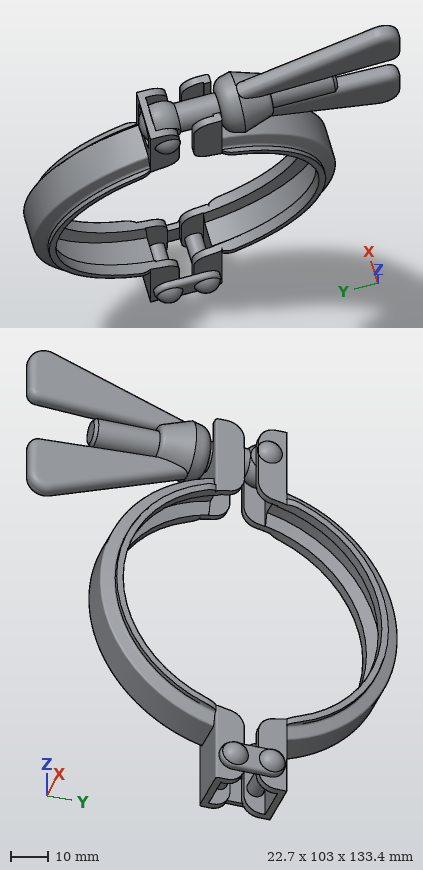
import cadquery as cq
import math


crest_radius = 42.0
flange_inner_radius = 36.6
band_sheet = 1.9
crest_half_width = 5.0
foot_half_width = 6.1
flange_half_width = 7.9
band_bend_fillet = 0.7
flange_taper_start_y = 13.1

leg_sheet = 2.0
leg_half_width = 7.01
leg_outer_y = 10.0
leg_inner_y = 2.0
leg_end_z = 59.0
leg_corner_radius = 5.0
web_edge_fillet = 0.7

pivot_y = 5.2
pivot_z = 51.4
pivot_pin_diameter = 4.0
hinge_pin_diameter = 4.8
rivet_head_sphere_radius = 4.0
pivot_head_height = 2.1
hinge_head_height = 2.34
link_thickness = 2.0
link_width = 8.0
link_edge_fillet = 1.0

shank_diameter = 8.0
shank_end_y = -43.1
shank_chamfer = 1.0
eye_sphere_radius = 6.0
eye_width = 8.3
eye_window_diameter = 12.3
shank_slot_width = 9.1

nut_seat_y = -10.7
nut_rim_y = -16.0
nut_end_y = -24.8
nut_seat_radius = 7.1
nut_rim_radius = 8.4
nut_end_radius = 5.6
nut_seat_fillet = 3.7
nut_end_fillet = 1.6
wing_thickness = 5.1
wing_edge_fillet = 2.0
wing_tip_y = -61.0
wing_outer_angle = 20.6
wing_inner_angle = 3.0
wing_inner_root_height = 4.1
wing_outer_corner_radius = 5.1
wing_inner_corner_radius = 3.0

flange_outer_radius = flange_inner_radius + band_sheet
groove_radius = crest_radius - band_sheet
wall_slope = (foot_half_width - crest_half_width) / (crest_radius - flange_outer_radius)
wall_width = band_sheet * math.hypot(1, wall_slope)
groove_floor_half_width = crest_half_width + wall_slope * band_sheet - wall_width
groove_mouth_half_width = crest_half_width + wall_slope * (crest_radius - flange_inner_radius) - wall_width
leg_inner_half_width = leg_half_width - leg_sheet
web_inner_y = leg_outer_y - leg_sheet
link_outer_x = leg_half_width + link_thickness


def x_cylinder(radius, half_length, y, z):
    return cq.Workplane("YZ").center(y, z).circle(radius).extrude(half_length, both=True)


def centred_box(half_width, y0, y1, z0, z1):
    """Box centred on X, between the given Y and Z limits."""
    return cq.Workplane("XY").box(2 * half_width, y1 - y0, z1 - z0).translate((0, (y0 + y1) / 2, (z0 + z1) / 2))


def revolve_about_x(outline):
    return cq.Workplane("XY").polyline(outline).close().revolve(360, (0, 0, 0), (1, 0, 0))


def groove_space():
    """Space inside the ring: the bore and the groove behind the crest."""
    return revolve_about_x([
        (-flange_half_width, 0),
        (-flange_half_width, flange_inner_radius),
        (-groove_mouth_half_width, flange_inner_radius),
        (-groove_floor_half_width, groove_radius),
        (groove_floor_half_width, groove_radius),
        (groove_mouth_half_width, flange_inner_radius),
        (flange_half_width, flange_inner_radius),
        (flange_half_width, 0),
    ])


def ring_outside():
    """Solid of revolution with the outer surface of the band."""
    outline = [
        (-flange_half_width, 0),
        (-flange_half_width, flange_outer_radius),
        (-foot_half_width, flange_outer_radius),
        (-crest_half_width, crest_radius),
        (crest_half_width, crest_radius),
        (foot_half_width, flange_outer_radius),
        (flange_half_width, flange_outer_radius),
        (flange_half_width, 0),
    ]
    bends = cq.selectors.BoxSelector(
        (-foot_half_width - 0.1, -crest_radius - 1.3, -crest_radius - 1.3),
        (foot_half_width + 0.1, crest_radius + 1.3, crest_radius + 1.3), boundingbox=True,
    )
    return revolve_about_x(outline).edges("%CIRCLE").edges(bends).fillet(band_bend_fillet)


def half_ring_plan():
    """Block on the +Y side that narrows the flanges to the leg width near the legs."""
    plan = (
        cq.Workplane("XY").workplane(offset=-crest_radius)
        .moveTo(leg_half_width, leg_outer_y)
        .lineTo(-leg_half_width, leg_outer_y)
        .threePointArc(taper_midpoint(-1), (-flange_half_width, flange_taper_start_y))
        .lineTo(-flange_half_width, crest_radius)
        .lineTo(flange_half_width, crest_radius)
        .lineTo(flange_half_width, flange_taper_start_y)
        .threePointArc(taper_midpoint(1), (leg_half_width, leg_outer_y))
        .close()
    )
    return plan.extrude(2 * crest_radius)


def taper_midpoint(side):
    """Point halfway along the flange taper, an arc that starts tangent to the flange edge."""
    length = flange_taper_start_y - leg_outer_y
    depth = flange_half_width - leg_half_width
    radius = (length**2 + depth**2) / (2 * depth)
    half_angle = math.asin(length / radius) / 2
    x = flange_half_width - radius * (1 - math.cos(half_angle))
    return (side * x, flange_taper_start_y - radius * math.sin(half_angle))


def upper_leg(web_fillet):
    """U channel on the +Y side, open towards the other half."""
    block = centred_box(leg_half_width, leg_inner_y, leg_outer_y, 0, leg_end_z)
    if web_fillet:
        block = block.edges("|Z and >Y").fillet(web_fillet)
    block = block.cut(x_cylinder(flange_inner_radius, leg_half_width, 0, 0))
    block = block.edges("|X and <Y").fillet(leg_corner_radius)
    channel_space = centred_box(leg_inner_half_width, 0, web_inner_y, 0, leg_end_z)
    return block.cut(channel_space).cut(groove_space())


def half_clamp(web_fillet):
    """Half ring with a leg at each end and hinge holes in the lower leg, on the +Y side."""
    arc = ring_outside().cut(groove_space()).intersect(half_ring_plan())
    leg = upper_leg(web_fillet)
    half = arc.union(leg).union(leg.mirror("XY"))
    hinge_hole = x_cylinder(hinge_pin_diameter / 2, leg_half_width, pivot_y, -pivot_z)
    return half.cut(hinge_hole)


def bolt_half():
    """Half that carries the swing bolt, with a window in its web for the bolt eye."""
    window = (
        cq.Workplane("XZ").workplane(offset=-leg_outer_y).center(0, pivot_z)
        .circle(eye_window_diameter / 2).extrude(leg_sheet)
        .intersect(centred_box(leg_inner_half_width, web_inner_y, leg_outer_y, 0, leg_end_z))
    )
    pivot_hole = x_cylinder(pivot_pin_diameter / 2, leg_half_width, pivot_y, pivot_z)
    return half_clamp(0).cut(window).cut(pivot_hole)


def nut_half():
    """Half that the nut bears on, with an open slot in its web for the bolt shank."""
    slot = centred_box(shank_slot_width / 2, web_inner_y, leg_outer_y, pivot_z, leg_end_z)
    slot_end = (
        cq.Workplane("XZ").workplane(offset=-leg_outer_y).center(0, pivot_z)
        .circle(shank_slot_width / 2).extrude(leg_sheet)
    )
    return half_clamp(web_edge_fillet).cut(slot).cut(slot_end).mirror("XZ")


def rivet(pin_diameter, seat_x, head_height, y, z):
    """Pin along X with a spherical head cap on each outer seat."""
    pin_radius = pin_diameter / 2
    sphere_x = seat_x + head_height - rivet_head_sphere_radius
    tip_x = seat_x + head_height
    head_base_radius = math.sqrt(rivet_head_sphere_radius**2 - (seat_x - sphere_x)**2)
    half_cap_angle = math.asin(head_base_radius / rivet_head_sphere_radius) / 2
    cap_x = sphere_x + rivet_head_sphere_radius * math.cos(half_cap_angle)
    cap_radius = rivet_head_sphere_radius * math.sin(half_cap_angle)
    profile = (
        cq.Workplane("XY")
        .moveTo(-tip_x, 0)
        .threePointArc((-cap_x, cap_radius), (-seat_x, head_base_radius))
        .lineTo(-seat_x, pin_radius)
        .lineTo(seat_x, pin_radius)
        .lineTo(seat_x, head_base_radius)
        .threePointArc((cap_x, cap_radius), (tip_x, 0))
        .close()
    )
    return profile.revolve(360, (0, 0, 0), (1, 0, 0)).translate((0, y, z))


def link(side):
    """Oblong plate that joins the two hinge rivets on one side."""
    plate = (
        cq.Workplane("YZ").workplane(offset=leg_half_width).center(0, -pivot_z)
        .slot2D(2 * pivot_y + link_width, link_width).extrude(link_thickness)
        .faces(">X").edges().fillet(link_edge_fillet)
        .faces("<X").workplane(origin=(0, 0, -pivot_z))
        .pushPoints([(-pivot_y, 0), (pivot_y, 0)]).hole(hinge_pin_diameter)
    )
    return plate if side > 0 else plate.mirror("YZ")


def swing_bolt():
    """Shank along -Y from a flattened spherical eye."""
    eye = cq.Workplane("XY").sphere(eye_sphere_radius)
    eye = eye.intersect(x_cylinder(eye_sphere_radius, eye_width / 2, 0, 0))
    shank = (
        cq.Workplane("XZ").circle(shank_diameter / 2).extrude(pivot_y - shank_end_y)
        .faces("<Y").chamfer(shank_chamfer)
    )
    pivot_hole = x_cylinder(pivot_pin_diameter / 2, eye_width, 0, 0)
    return eye.union(shank).cut(pivot_hole).translate((0, pivot_y, pivot_z))


def nut_body():
    """Double cone about the bolt axis, rounded at its seat and its outer end."""
    body = (
        cq.Workplane("XY")
        .polyline([
            (0, nut_seat_y), (nut_seat_radius, nut_seat_y), (nut_rim_radius, nut_rim_y),
            (nut_end_radius, nut_end_y), (0, nut_end_y),
        ])
        .close().revolve(360, (0, 0, 0), (0, 1, 0))
    )
    return body.faces("<Y").edges().fillet(nut_end_fillet).faces(">Y").edges().fillet(nut_seat_fillet)


def wing():
    """Tapered wing above the bolt axis, rounded along its whole outline."""
    length = nut_rim_y - wing_tip_y
    outer_tip = nut_rim_radius + length * math.tan(math.radians(wing_outer_angle))
    inner_tip = wing_inner_root_height + length * math.tan(math.radians(wing_inner_angle))
    plate = (
        cq.Workplane("YZ")
        .polyline([
            (nut_rim_y, wing_inner_root_height), (nut_rim_y, nut_rim_radius),
            (wing_tip_y, outer_tip), (wing_tip_y, inner_tip),
        ])
        .close().extrude(wing_thickness / 2, both=True)
    )
    tip_edges = plate.edges("|X and <Y")
    plate = tip_edges.edges(">Z").fillet(wing_outer_corner_radius)
    plate = plate.edges("|X").edges("<Y").edges("<Z").fillet(wing_inner_corner_radius)
    return plate.faces("<X or >X").edges().fillet(wing_edge_fillet)


def wing_nut():
    upper_wing = wing()
    nut = nut_body().union(upper_wing).union(upper_wing.mirror("XY"))
    bore = cq.Workplane("XZ").circle(shank_diameter / 2).extrude(-wing_tip_y)
    return nut.cut(bore).translate((0, 0, pivot_z))


back_half = bolt_half()
front_half = nut_half()
pivot_rivet = rivet(pivot_pin_diameter, leg_half_width, pivot_head_height, pivot_y, pivot_z)
hinge_rivets = [
    rivet(hinge_pin_diameter, link_outer_x, hinge_head_height, y, -pivot_z) for y in (-pivot_y, pivot_y)
]
links = [link(side) for side in (-1, 1)]
bolt = swing_bolt()
nut = wing_nut()

result = cq.Compound.makeCompound([
    back_half.val(),
    front_half.val(),
    pivot_rivet.val(),
    *[r.val() for r in hinge_rivets],
    *[plate.val() for plate in links],
    bolt.val(),
    nut.val(),
])